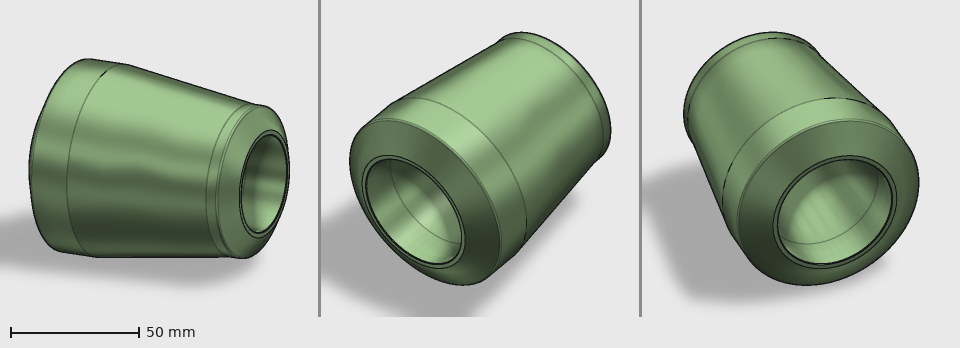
import cadquery as cq
import math

length = 90.0
wide_outer_radius = 76.1 / 2
wide_bore_radius = 47.7 / 2
narrow_outer_radius = 60.3 / 2
narrow_bore_radius = 38.3 / 2

wide_straight_length = 23.0
narrow_straight_length = 10.0

wide_bore_length = 15.0
narrow_bore_length = 18.0

land_width = 2.05
bevel_angle = math.radians(30.0)

bevel_edge_radius = 1.0
cone_edge_radius = 1.0
mouth_chamfer = 0.3

edge_search_margin = 0.01

wide_end = -length / 2
narrow_end = length / 2
cone_start = wide_end + wide_straight_length
cone_end = narrow_end - narrow_straight_length


def bevel_length(outer_radius, bore_radius):
    """Axial length of the bevel between the land and the outer surface."""
    return (outer_radius - bore_radius - land_width) * math.tan(bevel_angle)


def revolve_about_axis(points):
    """Solid of revolution about X from (x, radius) points, closed along the axis."""
    profile = [(points[0][0], 0.0)] + points + [(points[-1][0], 0.0)]
    return cq.Workplane("XZ").polyline(profile).close().revolve(360, (0, 0, 0), (1, 0, 0))


def circle_edges_at(body, x, radius):
    """The circular edge of a body at one station along the axis."""
    box = cq.selectors.BoxSelector(
        (x - edge_search_margin, -radius - edge_search_margin, -radius - edge_search_margin),
        (x + edge_search_margin, radius + edge_search_margin, radius + edge_search_margin),
        boundingbox=True,
    )
    return body.edges(box)


def make_outer_body():
    """Bevelled ends, two cylinders and the cone between them, with eased edges."""
    wide_bevel_end = wide_end + bevel_length(wide_outer_radius, wide_bore_radius)
    narrow_bevel_start = narrow_end - bevel_length(narrow_outer_radius, narrow_bore_radius)
    body = revolve_about_axis([
        (wide_end, wide_bore_radius + land_width),
        (wide_bevel_end, wide_outer_radius),
        (cone_start, wide_outer_radius),
        (cone_end, narrow_outer_radius),
        (narrow_bevel_start, narrow_outer_radius),
        (narrow_end, narrow_bore_radius + land_width),
    ])
    rounded_edges = [
        (wide_bevel_end, wide_outer_radius, bevel_edge_radius),
        (cone_start, wide_outer_radius, cone_edge_radius),
        (cone_end, narrow_outer_radius, cone_edge_radius),
        (narrow_bevel_start, narrow_outer_radius, bevel_edge_radius),
    ]
    for x, radius, fillet_radius in rounded_edges:
        body = circle_edges_at(body, x, radius).fillet(fillet_radius)
    return body


def make_bore():
    """Wide and narrow straight bores joined by a cone."""
    return revolve_about_axis([
        (wide_end, wide_bore_radius),
        (wide_end + wide_bore_length, wide_bore_radius),
        (narrow_end - narrow_bore_length, narrow_bore_radius),
        (narrow_end, narrow_bore_radius),
    ])


def make_reducer():
    """Bored body with a small chamfer at both mouths of the bore."""
    body = make_outer_body().cut(make_bore())
    for x, radius in [(wide_end, wide_bore_radius), (narrow_end, narrow_bore_radius)]:
        body = circle_edges_at(body, x, radius).chamfer(mouth_chamfer)
    return body


result = make_reducer()